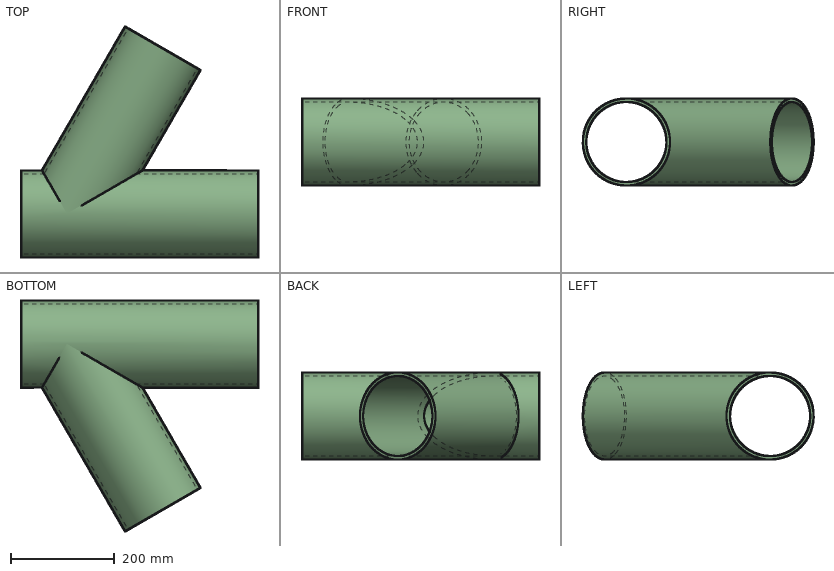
import cadquery as cq
import math

outer_diameter = 168.2
bore_diameter = 154.0
run_length = 457.0
branch_length = 368.5
branch_offset = 88.5
branch_angle = math.radians(60.0)

run_direction = cq.Vector(1, 0, 0)
branch_direction = cq.Vector(math.cos(branch_angle), math.sin(branch_angle), 0)
run_start = cq.Vector(0, 0, 0)
junction = run_direction * branch_offset


def cylinder(diameter, length, start, direction):
    """Solid cylinder from a start point along a direction."""
    return cq.Workplane(cq.Solid.makeCylinder(diameter / 2, length, start, direction))


def lateral(diameter):
    """Run and slanted branch of one diameter, joined where their axes meet."""
    run = cylinder(diameter, run_length, run_start, run_direction)
    branch = cylinder(diameter, branch_length, junction, branch_direction)
    return run.union(branch)


result = lateral(outer_diameter).cut(lateral(bore_diameter))